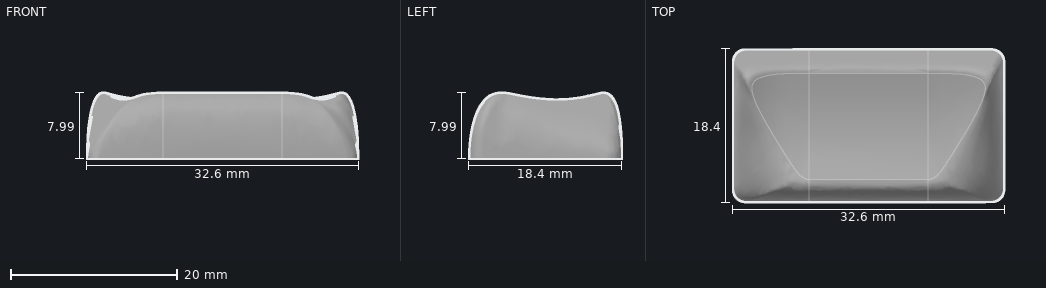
import cadquery as cq
import math

LENGTH = 32.63
WIDTH = 18.4
BASE_CORNER_RADIUS = 1.6
CORNER_LEAD = 0.45

MIDDLE_HALF_LENGTH = 7.14
FRONT_RIM_Y = -6.46
REAR_RIM_Y = 6.3

DISH_RADIUS = 29.0
DISH_LOW_Y = 1.6
DISH_LOW_Z = 6.77
END_RISE = 0.95
END_RISE_X = 14.0

WALL_LEVELS = (0, 0.25, 0.45, 0.6, 0.72, 0.82, 0.91, 1)
SLOPE_STEP = 0.01
DISH_DIVISIONS = 24
DISH_MARGIN = 0.05
DISH_FRONT_SWEEP = 10.0
DISH_TOLERANCE = 1e-4
SEW_TOLERANCE = 5e-3

HALF_LENGTH = LENGTH / 2
HALF_WIDTH = WIDTH / 2
CORNER_X = HALF_LENGTH - BASE_CORNER_RADIUS
CORNER_Y = HALF_WIDTH - BASE_CORNER_RADIUS
LEAD_X = CORNER_X - CORNER_LEAD
LEAD_Y = CORNER_Y - CORNER_LEAD


def dish_height(x, y):
    """Height of the concave top: circular across Y, with a cubic lift beyond the middle section."""
    trough = DISH_RADIUS - math.sqrt(DISH_RADIUS ** 2 - (y - DISH_LOW_Y) ** 2)
    reach = max(0, abs(x) - MIDDLE_HALF_LENGTH) / (END_RISE_X - MIDDLE_HALF_LENGTH)
    return DISH_LOW_Z + trough + END_RISE * reach ** 3


def dish_point(x, y):
    return cq.Vector(x, y, dish_height(x, y))


def front_corner(angle):
    a = math.radians(angle)
    return CORNER_X + BASE_CORNER_RADIUS * math.cos(a), -CORNER_Y + BASE_CORNER_RADIUS * math.sin(a)


def rear_corner(angle):
    a = math.radians(angle)
    return CORNER_X + BASE_CORNER_RADIUS * math.cos(a), CORNER_Y + BASE_CORNER_RADIUS * math.sin(a)


STATIONS = [
    ((MIDDLE_HALF_LENGTH, FRONT_RIM_Y), (MIDDLE_HALF_LENGTH, -HALF_WIDTH), 5.8, 0.7),
    ((7.45, -6.42), (9.8, -HALF_WIDTH), 5.6, 0.65),
    ((7.75, -6.29), (12.5, -HALF_WIDTH), 4.8, 0.6),
    ((7.97, -6.17), (LEAD_X, -HALF_WIDTH), 4.0, 0.6),
    ((8.15, -6.04), front_corner(-90), 3.4, 0.6),
    ((8.4, -5.8), front_corner(-60), 2.6, 0.57),
    ((8.65, -5.5), front_corner(-30), 2.4, 0.55),
    ((8.9, -5.15), front_corner(0), 2.6, 0.55),
    ((9.25, -4.65), (HALF_LENGTH, -LEAD_Y), 2.8, 0.55),
    ((10.3, -3.0), (HALF_LENGTH, -3.6), 3.5, 0.6),
    ((11.6, -0.9), (HALF_LENGTH, -0.3), 4.0, 0.6),
    ((12.9, 1.4), (HALF_LENGTH, 3.3), 4.4, 0.63),
    ((13.65, 3.0), (HALF_LENGTH, LEAD_Y), 4.8, 0.69),
    ((13.95, 3.95), rear_corner(0), 4.8, 0.69),
    ((14.0, 4.75), rear_corner(30), 4.4, 0.64),
    ((13.65, 5.4), rear_corner(60), 4.1, 0.58),
    ((12.9, 5.82), rear_corner(90), 4.1, 0.57),
    ((11.9, 6.08), (LEAD_X, HALF_WIDTH), 4.2, 0.57),
    ((10.5, 6.24), (11.7, HALF_WIDTH), 4.5, 0.55),
    ((8.8, 6.29), (9.3, HALF_WIDTH), 4.5, 0.55),
    ((MIDDLE_HALF_LENGTH, REAR_RIM_Y), (MIDDLE_HALF_LENGTH, HALF_WIDTH), 4.5, 0.55),
]


def wall_point(station, t):
    """Point at t (0 base, 1 rim) on a cubic Bezier, upright at the base, tangent to the dish at the rim."""
    (rim_x, rim_y), (base_x, base_y), upright_height, reach = station
    out_x = reach * (base_x - rim_x)
    out_y = reach * (base_y - rim_y)
    base = cq.Vector(base_x, base_y, 0)
    upright = cq.Vector(base_x, base_y, upright_height)
    rim = dish_point(rim_x, rim_y)
    beside_rim = dish_point(rim_x + SLOPE_STEP * out_x, rim_y + SLOPE_STEP * out_y)
    shoulder = rim + (beside_rim - rim) * (1 / SLOPE_STEP)
    s = 1 - t
    return base * s ** 3 + upright * (3 * s * s * t) + shoulder * (3 * s * t * t) + rim * t ** 3


def level_edges(t):
    """Closed outline of the walls at one level: right end, rear, left end, front."""
    right = [wall_point(station, t) for station in STATIONS]
    left = [cq.Vector(-p.x, p.y, p.z) for p in reversed(right)]
    along = cq.Vector(1, 0, 0)
    right_end = cq.Edge.makeSpline(right, tangents=[along, -along], scale=False)
    rear = cq.Edge.makeLine(right[-1], left[0])
    left_end = cq.Edge.makeSpline(left, tangents=[-along, along], scale=False)
    front = cq.Edge.makeLine(left[-1], right[0])
    return [right_end, rear, left_end, front]


def seam_arc(x):
    """Arc across the dish where the middle section meets an end."""
    middle_y = (FRONT_RIM_Y + REAR_RIM_Y) / 2
    return cq.Edge.makeThreePointArc(*(dish_point(x, y) for y in (FRONT_RIM_Y, middle_y, REAR_RIM_Y)))


def end_dish(rim, seam, side):
    """Dish face of one end: a spline patch over the dish, trimmed to the rim and the seam."""
    start_x = MIDDLE_HALF_LENGTH - DISH_MARGIN
    tip_x = END_RISE_X + DISH_MARGIN
    rear_y = REAR_RIM_Y + DISH_MARGIN
    grid = []
    for i in range(DISH_DIVISIONS + 1):
        u = i / DISH_DIVISIONS
        x = start_x + (tip_x - start_x) * u
        front_y = FRONT_RIM_Y - DISH_MARGIN + DISH_FRONT_SWEEP * u * u
        step_y = (rear_y - front_y) / DISH_DIVISIONS
        grid.append([dish_point(side * x, front_y + step_y * j) for j in range(DISH_DIVISIONS + 1)])
    patch = cq.Face.makeSplineApprox(grid, tol=DISH_TOLERANCE, minDeg=3, maxDeg=6)
    return patch.trim(cq.Wire.assembleEdges([rim, seam]))


def build_keycap():
    """Sew the lofted walls, the three dish faces and the flat base into one solid."""
    levels = [level_edges(t) for t in WALL_LEVELS]
    wires = [cq.Wire.assembleEdges(edges) for edges in levels]
    right_rim, _, left_rim, _ = levels[-1]
    right_seam = seam_arc(MIDDLE_HALF_LENGTH)
    left_seam = seam_arc(-MIDDLE_HALF_LENGTH)

    walls = cq.occ_impl.shapes.loft(*wires)
    middle_dish = cq.Face.makeRuledSurface(right_seam, left_seam)
    right_dish = end_dish(right_rim, right_seam, 1)
    left_dish = end_dish(left_rim, left_seam, -1)
    base = cq.Face.makeFromWires(wires[0])

    faces = [*walls.Faces(), middle_dish, right_dish, left_dish, base]
    skin = cq.occ_impl.shapes.shell(*faces, tol=SEW_TOLERANCE)
    return cq.occ_impl.shapes.solid(skin)


result = cq.Workplane(obj=build_keycap())